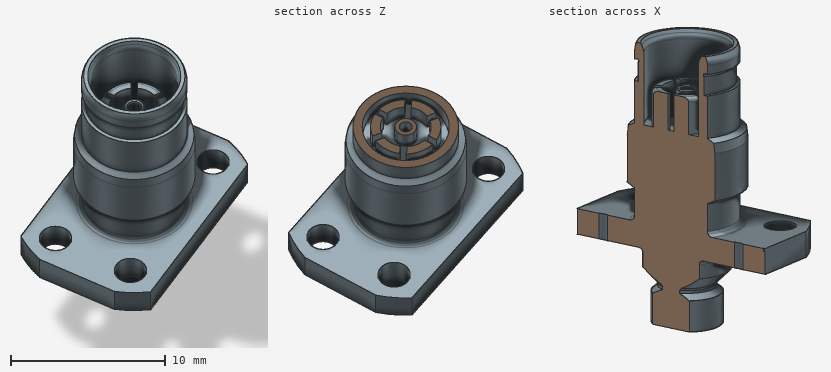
import cadquery as cq
import math

flange_width = 9.7
flange_length = 15.0
flange_corner_radius = 8.0
flange_bottom = 5.04
flange_top = 6.8
hole_diameter = 2.09
hole_spacing_x = 5.6
hole_spacing_y = 10.81

plug_radius = 2.35
plug_top = 2.15
plug_edge = 0.05
plug_cone_radius = 2.32
neck_radius = 1.94
neck_bottom = plug_top + plug_cone_radius - neck_radius
neck_top = 2.72
stem_cone_bottom = 2.87
stem_cone_radius = 2.0
stem_radius = 2.9
stem_bottom = 3.78
stem_fillet = 0.27

total_height = 19.0
barrel_radius = 3.44
barrel_fillet = 0.35
collar_radius = 3.95
collar_bottom = 9.33
collar_taper_start = 12.54
collar_taper_end = 13.22
collar_taper_radius = 3.88
collar_top = 13.47
collar_chamfer_bottom = 9.0
groove_radius = 3.2
groove_bottom = 16.35
groove_top = 17.82
relief_bottom = 17.61
relief_middle = 17.7
relief_depth = 0.04
rim_curve_start = 18.43
rim_radius = 3.29

mouth_radius = 3.02
lead_in_radius = 2.93
lead_in_depth = 0.23
socket_radius = 2.81
socket_start_depth = 0.63
socket_floor = collar_top

finger_top = 15.96
finger_outer_radius = 2.3
finger_inner_radius = 1.63
finger_edge_radius = 0.28
finger_count = 6
finger_gap = 0.42
contact_outer_radius = 0.72
contact_inner_radius = 0.4
contact_edge = 0.08


def arc_middle(upright_end, other_end):
    """Middle of the arc that is vertical at its first end, in the (radius, height) half plane."""
    width = other_end[0] - upright_end[0]
    height = other_end[1] - upright_end[1]
    arc_radius = (width**2 + height**2) / (2 * abs(width))
    half_angle = math.atan2(abs(width), abs(height))
    middle_width = math.copysign(arc_radius * (1 - math.cos(half_angle)), width)
    middle_height = math.copysign(arc_radius * math.sin(half_angle), height)
    return (upright_end[0] + middle_width, upright_end[1] + middle_height)


def revolve(profile):
    """Solid of revolution about the Z axis of an XZ outline."""
    return profile.close().revolve(360, (0, 0, 0), (0, 1, 0))


def turned_body():
    """Turned outside of the stem and barrel."""
    stem_end = (stem_radius, flange_bottom - stem_fillet)
    stem_flare_end = (stem_radius + stem_fillet, flange_bottom)
    barrel_flare_end = (barrel_radius + barrel_fillet, flange_top)
    barrel_start = (barrel_radius, flange_top + barrel_fillet)
    rim_start = (barrel_radius, rim_curve_start)
    rim_end = (rim_radius, total_height)
    return revolve(
        cq.Workplane("XZ")
        .lineTo(plug_radius - plug_edge, 0)
        .lineTo(plug_radius, plug_edge)
        .lineTo(plug_radius, plug_top)
        .lineTo(plug_cone_radius, plug_top)
        .lineTo(neck_radius, neck_bottom)
        .lineTo(neck_radius, neck_top)
        .lineTo(stem_cone_radius, stem_cone_bottom)
        .lineTo(stem_radius, stem_bottom)
        .lineTo(*stem_end)
        .threePointArc(arc_middle(stem_end, stem_flare_end), stem_flare_end)
        .lineTo(*barrel_flare_end)
        .threePointArc(arc_middle(barrel_start, barrel_flare_end), barrel_start)
        .lineTo(barrel_radius, collar_chamfer_bottom)
        .lineTo(collar_radius, collar_bottom)
        .lineTo(collar_radius, collar_taper_start)
        .lineTo(collar_taper_radius, collar_taper_end)
        .lineTo(barrel_radius, collar_top)
        .lineTo(barrel_radius, groove_bottom)
        .lineTo(groove_radius, groove_bottom)
        .lineTo(groove_radius, relief_bottom)
        .lineTo(groove_radius - relief_depth, relief_middle)
        .lineTo(groove_radius, groove_top)
        .lineTo(barrel_radius, groove_top)
        .lineTo(*rim_start)
        .threePointArc(arc_middle(rim_start, rim_end), rim_end)
        .lineTo(0, total_height)
    )


def flange():
    height = flange_top - flange_bottom
    base = cq.Workplane("XY").workplane(offset=flange_bottom)
    plate = base.rect(flange_width, flange_length).extrude(height)
    plate = plate.intersect(base.circle(flange_corner_radius).extrude(height))
    holes = base.rect(hole_spacing_x, hole_spacing_y, forConstruction=True).vertices()
    return plate.cut(holes.circle(hole_diameter / 2).extrude(height))


def socket():
    """Bore of the barrel, with a conical mouth that runs into a rounded lead-in."""
    lead_in_start = (lead_in_radius, total_height - lead_in_depth)
    bore_start = (socket_radius, total_height - socket_start_depth)
    return revolve(
        cq.Workplane("XZ")
        .moveTo(0, total_height)
        .lineTo(mouth_radius, total_height)
        .lineTo(*lead_in_start)
        .threePointArc(arc_middle(bore_start, lead_in_start), bore_start)
        .lineTo(socket_radius, socket_floor)
        .lineTo(0, socket_floor)
    )


def tube(outer_radius, inner_radius):
    """Tube standing on the socket floor."""
    base = cq.Workplane("XY").workplane(offset=socket_floor)
    return base.circle(outer_radius).circle(inner_radius).extrude(finger_top - socket_floor)


def contact_fingers():
    """Tube with a rounded outer edge, slotted into equal fingers."""
    ring = tube(finger_outer_radius, finger_inner_radius)
    outer_edge = ring.faces(">Z").edges(cq.selectors.RadiusNthSelector(-1))
    ring = outer_edge.fillet(finger_edge_radius)
    base = cq.Workplane("XY").workplane(offset=socket_floor)
    slot = base.rect(2 * socket_radius, finger_gap).extrude(finger_top - socket_floor)
    for index in range(finger_count // 2):
        ring = ring.cut(slot.rotate((0, 0, 0), (0, 0, 1), index * 360 / finger_count))
    return ring


def center_contact():
    contact = tube(contact_outer_radius, contact_inner_radius)
    return contact.faces(">Z").edges().chamfer(contact_edge)


housing = turned_body().union(flange()).cut(socket())
result = housing.union(contact_fingers()).union(center_contact())